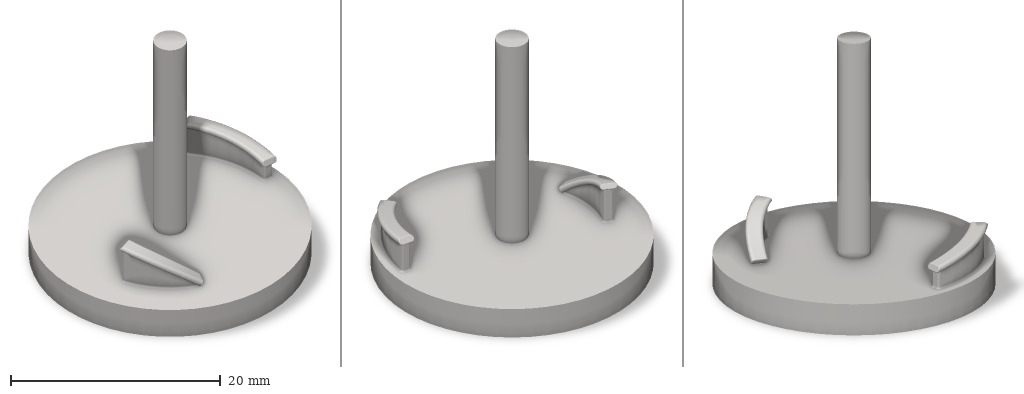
import cadquery as cq
import math

disc_diameter = 27.0
disc_thickness = 3.18
pin_diameter = 3.2
pin_height = 22.0

ramp_span = 45.0
rail_width = 1.7
rail_thickness = 0.66
rail_end_radius = 0.1
wall_thickness = 0.95
wall_corner_radius = 0.2
wall_foot_radius = 0.2
low_end_setback = 0.25
high_end_setback = 0.1
path_overrun = 1.0
path_steps = 8
cutter_size = 10.0
guide_rise = 10.0
high_end_tilt = 42.0

outer_radius = 12.0
outer_low_angle = 110.0
outer_heights = (2.07, 0.19, 3.45)
outer_low_tilt = 20.0

inner_radius = 9.5
inner_low_angle = 0.0
inner_heights = (0.28, 0.78, 3.98)
inner_low_tilt = -34.0


def rail_height(s, length, low_height, low_slope, high_height):
    """Rail centre height above the disc at arc length s; the slope eases off towards the high end."""
    bend = (high_height - low_height - low_slope * length) / length**2
    return low_height + low_slope * s + bend * s**2


def make_path(radius, direction, length, heights):
    """Climbing curve on a cylinder, starting at angle zero and overrunning both ends."""
    points = []
    for step in range(path_steps + 1):
        s = -path_overrun + (length + 2 * path_overrun) * step / path_steps
        angle = direction * s / radius
        z = disc_thickness + rail_height(s, length, *heights)
        points.append(cq.Vector(radius * math.cos(angle), radius * math.sin(angle), z))
    return cq.Edge.makeSpline(points)


def profile_plane(path):
    """Plane square to the start of the path, with its x direction level."""
    tangent = path.tangentAt(0)
    level = tangent.cross(cq.Vector(0, 0, 1))
    return cq.Plane(origin=path.startPoint(), xDir=level, normal=tangent)


def sweep_level(profile, path):
    """Sweep a profile along a path, guided from straight above so that its width stays level."""
    guide = path.translate(cq.Vector(0, 0, guide_rise))
    return profile.sweep(cq.Workplane(path), auxSpine=cq.Workplane(guide))


def end_cutter(radius, direction, s, height, outward, tilt):
    """Block beyond a ramp end; a positive tilt makes the cut face look upwards."""
    angle = direction * s / radius
    origin = (radius * math.cos(angle), radius * math.sin(angle), disc_thickness + height)
    along = outward * direction
    lean = math.radians(tilt)
    normal = (
        -along * math.sin(angle) * math.cos(lean),
        along * math.cos(angle) * math.cos(lean),
        math.sin(lean),
    )
    plane = cq.Plane(origin=origin, xDir=(math.cos(angle), math.sin(angle), 0), normal=normal)
    return cq.Workplane(plane).rect(cutter_size, cutter_size).extrude(cutter_size)


def make_rail(radius, direction, length, heights, low_tilt, high_tilt):
    """Round-edged rail with trimmed ends."""
    path = make_path(radius, direction, length, heights)
    profile = cq.Workplane(profile_plane(path)).slot2D(rail_width, rail_thickness)
    rail = sweep_level(profile, path)
    low_height, _, high_height = heights
    rail = rail.cut(end_cutter(radius, direction, 0, low_height, -1, low_tilt))
    rail = rail.cut(end_cutter(radius, direction, length, high_height, 1, high_tilt))
    return rail.faces("%PLANE").edges().fillet(rail_end_radius)


def make_wall(radius, direction, length, heights):
    """Curved wall from the disc up to the centre line of the rail."""
    _, _, high_height = heights
    inner = radius - wall_thickness / 2
    outer = radius + wall_thickness / 2
    start = direction * low_end_setback / radius
    end = direction * (length - high_end_setback) / radius
    middle = (start + end) / 2

    def polar(r, angle):
        return (r * math.cos(angle), r * math.sin(angle))

    wall = (
        cq.Workplane("XY", origin=(0, 0, disc_thickness))
        .moveTo(*polar(inner, start))
        .threePointArc(polar(inner, middle), polar(inner, end))
        .lineTo(*polar(outer, end))
        .threePointArc(polar(outer, middle), polar(outer, start))
        .close()
        .extrude(high_height)
        .edges("|Z")
        .fillet(wall_corner_radius)
    )
    path = make_path(radius, direction, length, heights)
    depth = 2 * high_height
    plane = profile_plane(path)
    rise = math.copysign(depth / 2, plane.yDir.z)
    above = cq.Workplane(plane).center(0, rise).rect(2 * wall_thickness, depth)
    return wall.cut(sweep_level(above, path))


def add_ramp(body, radius, low_angle, direction, heights, low_tilt, high_tilt):
    """Add a wall with a filleted foot and its rail."""
    length = math.radians(ramp_span) * radius
    axis = ((0, 0, 0), (0, 0, 1))
    wall = make_wall(radius, direction, length, heights).rotate(*axis, low_angle)
    rail = make_rail(radius, direction, length, heights, low_tilt, high_tilt).rotate(*axis, low_angle)
    body = body.union(wall)
    foot = wall.faces("<Z").val().BoundingBox()
    margin = wall_foot_radius
    foot_edges = cq.selectors.BoxSelector(
        (foot.xmin - margin, foot.ymin - margin, disc_thickness - margin),
        (foot.xmax + margin, foot.ymax + margin, disc_thickness + margin),
        boundingbox=True,
    )
    return body.edges(foot_edges).fillet(wall_foot_radius).union(rail)


def make_disc_and_pin():
    """Flat disc with the pin standing at its centre."""
    disc = cq.Workplane("XY").circle(disc_diameter / 2).extrude(disc_thickness)
    return disc.faces(">Z").workplane().circle(pin_diameter / 2).extrude(pin_height)


result = make_disc_and_pin()
result = add_ramp(
    result, outer_radius, outer_low_angle, 1, outer_heights, outer_low_tilt, high_end_tilt
)
result = add_ramp(
    result, inner_radius, inner_low_angle, -1, inner_heights, inner_low_tilt, high_end_tilt
)